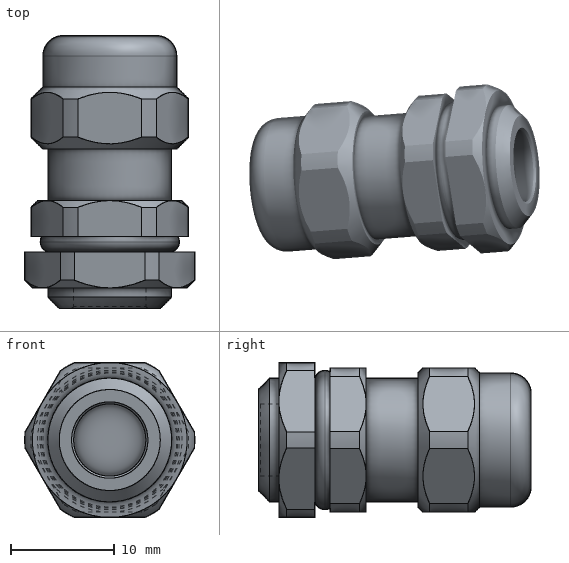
import cadquery as cq
import math


thread_diameter = 12.0
spigot_tip_diameter = 9.8
spigot_length = 2.0
spigot_chamfer = (thread_diameter - spigot_tip_diameter) / 2

bore_diameter = 7.0
bore_mouth_chamfer = 0.2
bore_depth = 2.0

locknut_flats = 15.0
locknut_corner_diameter = 16.5
locknut_width = 3.5
body_flats = 14.0
body_corner_diameter = 15.3
body_hex_width = 3.5
cap_hex_width = 6.0

ring_outer_diameter = 13.5
ring_section_diameter = 2.0
ring_center_to_body = 0.5
ring_gap = 1.46

neck_length = 5.0

cap_diameter = 13.0
cap_length = 5.0
cap_round = 2.0

locknut_start = spigot_length
locknut_end = locknut_start + locknut_width
body_hex_start = locknut_end + ring_gap
body_hex_end = body_hex_start + body_hex_width
cap_hex_start = body_hex_end + neck_length
cap_hex_end = cap_hex_start + cap_hex_width


def cylinder(diameter, start, length):
    """Cylinder along +Y beginning at the given station."""
    plane = cq.Workplane("XZ", origin=(0, start, 0))
    return plane.circle(diameter / 2).extrude(-length)


def turned_hexagon(flats, corner_diameter, start, width, start_face_diameter=None, end_face_diameter=None):
    """Hexagon with flats facing +Z and -Z, turned corners and 45 degree chamfers.

    A face diameter is the circle left on that end by its chamfer; None leaves the end square.
    """
    point_diameter = flats / math.cos(math.pi / 6)
    plane = cq.Workplane("XZ", origin=(0, start, 0))
    hexagon = plane.polygon(6, point_diameter).extrude(-width)
    blank = cylinder(corner_diameter, start, width)
    if start_face_diameter is not None:
        blank = blank.faces("<Y").chamfer((corner_diameter - start_face_diameter) / 2)
    if end_face_diameter is not None:
        blank = blank.faces(">Y").chamfer((corner_diameter - end_face_diameter) / 2)
    return hexagon.intersect(blank)


def threaded_core():
    """Plain cylinder from the chamfered entry tip through to the cap hexagon."""
    return cylinder(thread_diameter, 0, cap_hex_end).faces("<Y").chamfer(spigot_chamfer)


def sealing_ring():
    """Round-section ring trimmed by the faces on either side of it."""
    section_center = (ring_outer_diameter - ring_section_diameter) / 2
    middle = body_hex_start - ring_center_to_body
    ring = (
        cq.Workplane("XY")
        .center(section_center, middle)
        .circle(ring_section_diameter / 2)
        .revolve(360, (-section_center, 0, 0), (-section_center, 1, 0))
    )
    return ring.intersect(cylinder(body_corner_diameter, locknut_end, ring_gap))


def domed_cap():
    return cylinder(cap_diameter, cap_hex_end, cap_length).faces(">Y").edges().fillet(cap_round)


def entry_bore():
    """Shallow flat-bottomed bore with its chamfered mouth."""
    radius = bore_diameter / 2
    profile = (
        cq.Workplane("XY")
        .moveTo(0, 0)
        .lineTo(radius + bore_mouth_chamfer, 0)
        .lineTo(radius, bore_mouth_chamfer)
        .lineTo(radius, bore_depth)
        .lineTo(0, bore_depth)
        .close()
    )
    return profile.revolve(360, (0, 0, 0), (0, 1, 0))


locknut = turned_hexagon(
    locknut_flats,
    locknut_corner_diameter,
    locknut_start,
    locknut_width,
    start_face_diameter=locknut_flats,
)
body_hex = turned_hexagon(
    body_flats,
    body_corner_diameter,
    body_hex_start,
    body_hex_width,
    end_face_diameter=body_flats,
)
cap_hex = turned_hexagon(
    body_flats,
    body_corner_diameter,
    cap_hex_start,
    cap_hex_width,
    start_face_diameter=cap_diameter,
    end_face_diameter=cap_diameter,
)

result = threaded_core()
for portion in (locknut, sealing_ring(), body_hex, cap_hex, domed_cap()):
    result = result.union(portion)
result = result.cut(entry_bore())